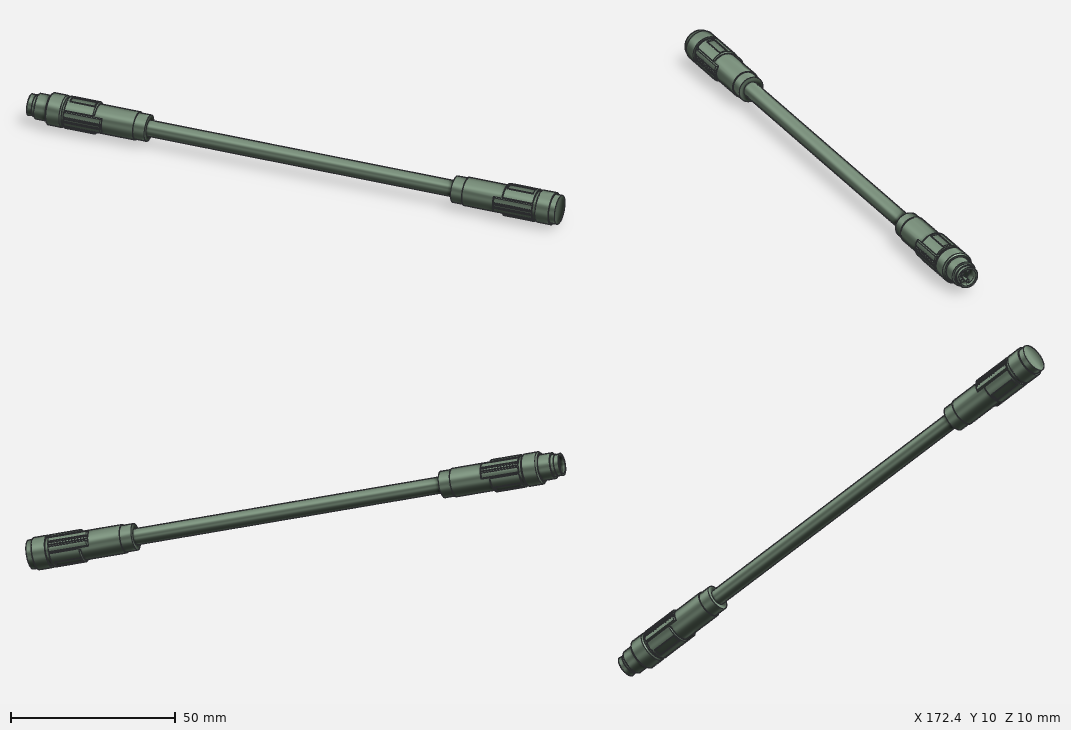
import cadquery as cq

total_length = 172.4
half_length = total_length / 2
cable_radius = 2.5
body_radius = 4.4
collar_radius = 4.1
grip_radius = 5.0
neck_radius = 4.4
grip_end_chamfer = 0.4

male_nose_radius = 3.4
male_nose_root_radius = 3.15
male_nose_end = 1.55
male_flange_end = 2.6
male_shell_radius = 4.0
male_ring_start = 6.4
male_ring_end = 11.7
male_ring_chamfer = 0.5
male_grip_start = 12.5
male_top_grip_end = 22.2
male_side_grip_end = 24.8
male_body_end = 34.9
male_collar_end = 38.6

cavity_radius = 2.8
cavity_depth = 4.0
pin_radius = 0.5
pin_setback = 1.0
pin_near_y, pin_near_z = 1.3, 1.25
pin_far_y, pin_far_z = -0.5, 1.75

female_tip_radius = 4.5
female_ring_start = 1.9
female_ring_end = 6.2
female_grip_start = 7.3
female_top_grip_end = 17.4
female_side_grip_end = 20.1
female_body_end = 30.3
female_collar_end = 34.0

panel_gap_low = 2.4
panel_gap_high = 2.95
pocket_half_width = 1.3
pocket_floor = 4.5
pocket_end_margin = 0.8
rib_groove_width = 0.65
rib_groove_offset = 0.62
rib_groove_floor = 4.5


def disc(start, end, radius):
    """Cylinder on the X axis between two distances from the connector tip."""
    return cq.Workplane("YZ", origin=(start, 0, 0)).circle(radius).extrude(end - start)


def block(start, end, y_range, z_range):
    """Box given by its limits along X, Y and Z."""
    y_low, y_high = y_range
    z_low, z_high = z_range
    return cq.Workplane("XY").box(
        end - start, y_high - y_low, z_high - z_low, centered=False
    ).translate((start, y_low, z_low))


def grip_blank(start, end):
    """Full round grip, chamfered at the end that faces the cable."""
    return disc(start, end, grip_radius).faces(">X").chamfer(grip_end_chamfer)


def grip(start, top_end, side_end):
    """Top and bottom panels with a pocket, and longer ribbed side panels."""
    reach = 2 * grip_radius
    across = (-reach, reach)

    side_panels = grip_blank(start, side_end).intersect(
        block(start, side_end, across, (-panel_gap_low, panel_gap_low))
    )
    cap_panels = grip_blank(start, top_end).cut(
        block(start, top_end, across, (-panel_gap_high, panel_gap_high))
    )

    pocket = block(
        start + pocket_end_margin,
        top_end - pocket_end_margin,
        (-pocket_half_width, pocket_half_width),
        (pocket_floor, reach),
    )
    rib_groove = block(
        start,
        side_end,
        (rib_groove_floor, reach),
        (-rib_groove_width / 2, rib_groove_width / 2),
    )
    for angle in (0, 180):
        cap_panels = cap_panels.cut(pocket.rotate((0, 0, 0), (1, 0, 0), angle))
        turned_groove = rib_groove.rotate((0, 0, 0), (1, 0, 0), angle)
        for height in (-rib_groove_offset, rib_groove_offset):
            side_panels = side_panels.cut(turned_groove.translate((0, 0, height)))

    return side_panels.union(cap_panels)


def contact_pins():
    pin_points = [
        (y, side * z)
        for y, z in ((pin_near_y, pin_near_z), (pin_far_y, pin_far_z))
        for side in (-1, 1)
    ]
    return (
        cq.Workplane("YZ", origin=(pin_setback, 0, 0))
        .pushPoints(pin_points)
        .circle(pin_radius)
        .extrude(cavity_depth - pin_setback)
    )


def male_nose():
    """Snap-in nose that narrows from its tip to the flange behind it."""
    half_profile = [
        (0, 0),
        (0, male_nose_radius),
        (male_nose_end, male_nose_root_radius),
        (male_nose_end, 0),
    ]
    return (
        cq.Workplane("XY")
        .polyline(half_profile)
        .close()
        .revolve(360, (0, 0, 0), (1, 0, 0))
    )


def male_plug():
    plug = male_nose()
    plug = plug.union(disc(male_nose_end, male_flange_end, male_nose_radius))
    plug = plug.union(disc(male_flange_end, male_ring_start, male_shell_radius))
    ring = disc(male_ring_start, male_ring_end, grip_radius)
    plug = plug.union(ring.edges("%CIRCLE").chamfer(male_ring_chamfer))
    plug = plug.union(disc(male_ring_end, male_grip_start, neck_radius))
    plug = plug.union(disc(male_grip_start, male_body_end, body_radius))
    plug = plug.union(disc(male_body_end, male_collar_end, collar_radius))
    plug = plug.union(grip(male_grip_start, male_top_grip_end, male_side_grip_end))
    plug = plug.cut(disc(0, cavity_depth, cavity_radius))
    return plug.union(contact_pins())


def female_socket():
    socket = disc(0, female_ring_start, female_tip_radius)
    socket = socket.union(disc(female_ring_start, female_ring_end, grip_radius))
    socket = socket.union(disc(female_ring_end, female_grip_start, neck_radius))
    socket = socket.union(disc(female_grip_start, female_body_end, body_radius))
    socket = socket.union(disc(female_body_end, female_collar_end, collar_radius))
    return socket.union(grip(female_grip_start, female_top_grip_end, female_side_grip_end))


plug = male_plug().translate((-half_length, 0, 0))
socket = female_socket().mirror("YZ").translate((half_length, 0, 0))
cable = disc(male_collar_end - half_length, half_length - female_collar_end, cable_radius)
result = cable.union(plug).union(socket)